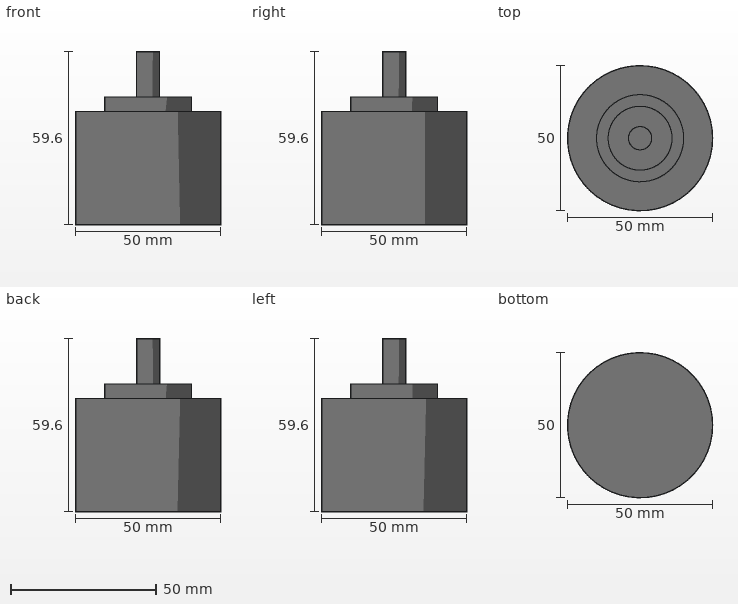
import cadquery as cq

body_diameter = 50.0
body_height = 39.0
boss_diameter = 30.0
boss_height = 5.0
recess_diameter = 22.0
recess_depth = 2.0
shaft_diameter = 8.0
overall_height = 59.6

boss_top = body_height + boss_height
recess_floor = boss_top - recess_depth


def cylinder(diameter, bottom, top):
    """Solid cylinder on the Z axis between two heights."""
    return cq.Workplane("XY").workplane(offset=bottom).circle(diameter / 2).extrude(top - bottom)


body = cylinder(body_diameter, 0, body_height)
boss = cylinder(boss_diameter, body_height, boss_top)
housing = body.union(boss)

recess = cylinder(recess_diameter, recess_floor, boss_top)
shaft = cylinder(shaft_diameter, recess_floor, overall_height)

result = housing.cut(recess).union(shaft)